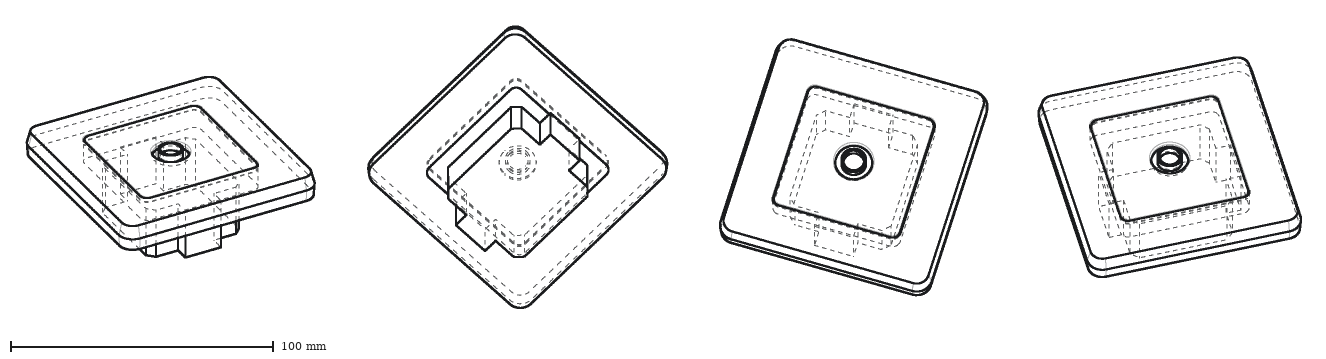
import cadquery as cq

plate_side = 84.0
plate_corner_radius = 6.0
plate_lower_height = 4.95
plate_upper_height = 5.1
plate_lower_inset = 0.3
plate_upper_inset = 1.35

opening_side = 50.65
opening_corner_radius = 3.0
insert_gap = 0.3
gap_depth = 2.0
gap_edge_radius = 0.2

socket_diameter = 14.1
socket_depth = 2.0
socket_edge_radius = 0.7
collar_outer_diameter = 9.5
collar_inner_diameter = 8.0
collar_rise = 1.1

base_height = 21.0
base_side = 40.3
base_chamfer = 2.85
tab_span = 51.9
tab_width = 15.45

plate_top = plate_lower_height + plate_upper_height
gap_floor = plate_top - gap_depth
socket_floor = plate_top - socket_depth
collar_top = plate_top + collar_rise

insert_side = opening_side - 2 * insert_gap


def rounded_square(side, height):
    """Square block on Z = 0 with rounded vertical edges."""
    block = cq.Workplane("XY").rect(side, side).extrude(height)
    return block.edges("|Z").fillet(opening_corner_radius)


def top_edges_within(body, half_width):
    """Edges of the top face that lie inside a centred square."""
    level_margin = 0.1
    low_corner = (-half_width, -half_width, plate_top - level_margin)
    high_corner = (half_width, half_width, plate_top + level_margin)
    return body.edges(cq.selectors.BoxSelector(low_corner, high_corner))


def tapered_slab(inset, height):
    """Slab from the widest plate outline at Z = 0 to one inset all round at the given height."""
    outlines = []
    for level, offset in ((0, 0), (height, inset)):
        side = plate_side - 2 * offset
        outline = cq.Sketch().rect(side, side).vertices().fillet(plate_corner_radius - offset)
        outlines.append(outline.moved(cq.Location(cq.Vector(0, 0, level))))
    return cq.Workplane("XY").placeSketch(*outlines).loft()


def make_frame():
    """Cover frame: two tapered halves with a square opening whose top edge is rounded."""
    upper = tapered_slab(plate_upper_inset, plate_upper_height)
    lower = tapered_slab(plate_lower_inset, plate_lower_height).mirror("XY")
    slab = upper.union(lower).translate((0, 0, plate_lower_height))
    frame = slab.cut(rounded_square(opening_side, plate_top))
    return top_edges_within(frame, opening_side / 2 + insert_gap).fillet(gap_edge_radius)


def make_insert_block():
    """Block that fills the opening and steps in near the top to leave the gap."""
    upper_block = rounded_square(insert_side, plate_top)
    upper_block = upper_block.faces(">Z").edges().fillet(gap_edge_radius)
    return rounded_square(opening_side, gap_floor).union(upper_block)


def cut_socket(block):
    """Flat round recess with a rounded rim."""
    floor = cq.Workplane("XY").workplane(offset=socket_floor)
    block = block.cut(floor.circle(socket_diameter / 2).extrude(socket_depth))
    return top_edges_within(block, socket_diameter).fillet(socket_edge_radius)


def make_collar():
    """Thin ring from the socket floor to above the plate."""
    floor = cq.Workplane("XY").workplane(offset=socket_floor)
    ring = floor.circle(collar_outer_diameter / 2).circle(collar_inner_diameter / 2)
    return ring.extrude(collar_top - socket_floor)


def make_base():
    """Square base with chamfered corners and a tab on each X side."""
    core = cq.Workplane("XY").rect(base_side, base_side).extrude(-base_height)
    core = core.edges("|Z").chamfer(base_chamfer)
    tabs = cq.Workplane("XY").rect(tab_span, tab_width).extrude(-base_height)
    return core.union(tabs)


def make_insert():
    """Insert in one piece with its collar and mounting base."""
    return cut_socket(make_insert_block()).union(make_collar()).union(make_base())


frame = make_frame()
insert = make_insert()
result = cq.Compound.makeCompound([frame.val(), insert.val()])